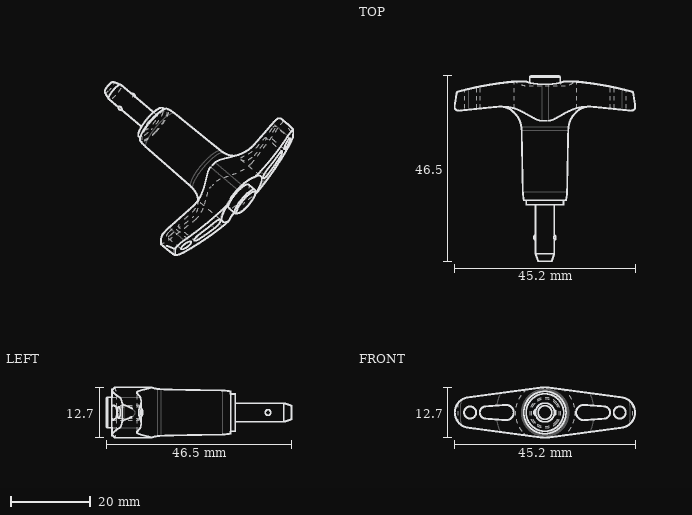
import cadquery as cq
import math


hub_width = 12.7
hub_radius = hub_width / 2
end_radius = 3.85
half_span = 22.6
end_center = half_span - end_radius

bowl_inner = (3.7, -2.45)
bowl_middle = (6.3, -2.15)
rim_inner = (7.45, -1.45)
rim_outer = (8.35, -1.45)
crown_middle = (14.87, -2.35)
crown_outer = (21.9, -4.0)
edge_round_middle = (22.1, -4.2)
end_taper_top = (22.15, -4.45)
end_taper_low = (22.7, -7.75)
end_round_middle = (22.25, -8.55)
underside_outer = (21.3, -8.75)

flare_radius = 5.65
flare_start = (5.95, -12.8)
flare_center = (11.6, -13.4)
flare_middle_angle = 135
grip_top = (5.85, -13.6)
grip_bottom = (5.6, -29.1)
grip_round_middle = (5.5, -30.2)
grip_end = (5.3, -31.2)
collar_radius = 4.7
collar_end = -32.35

pin_radius = 2.35
tip_radius = 1.7
tip_start = -44.55
tip_end = -46.5
ball_diameter = 1.55
ball_span = 5.55
ball_y = -40.55

button_radius = 3.85
button_depth = 4.65
button_chamfer = 0.35

hole_radius = 1.5
slot_inner_x = 9.7
slot_inner_width = 3.75
slot_outer_x = 14.8
slot_outer_width = 3.0

through_length = 18.6


def turned(section):
    """Revolve a closed radius-Y section about the pin axis."""
    return section.close().revolve(360, (0, 0, 0), (0, 1, 0))


def tapered_bar(x_big, radius_big, x_small, radius_small):
    """Prism along Y whose outline is two round ends with tangent sides, the small end at larger X."""
    sine = (radius_big - radius_small) / (x_small - x_big)
    cosine = math.sqrt(1 - sine**2)
    big = (x_big + radius_big * sine, radius_big * cosine)
    small = (x_small + radius_small * sine, radius_small * cosine)
    return (
        cq.Workplane("XZ")
        .moveTo(*big)
        .lineTo(*small)
        .threePointArc((x_small + radius_small, 0), (small[0], -small[1]))
        .lineTo(big[0], -big[1])
        .threePointArc((x_big - radius_big, 0), big)
        .close()
        .extrude(through_length)
    )


def on_flare(angle):
    """Point of the flare arc at an angle in degrees from the +radius direction."""
    turn = math.radians(angle)
    return (
        flare_center[0] + flare_radius * math.cos(turn),
        flare_center[1] + flare_radius * math.sin(turn),
    )


def flare_tangent_angle():
    """Angle at which the wing underside leaves the flare tangentially."""
    dx = underside_outer[0] - flare_center[0]
    dy = underside_outer[1] - flare_center[1]
    return math.degrees(math.atan2(dy, dx) + math.acos(flare_radius / math.hypot(dx, dy)))


def handle():
    section = (
        cq.Workplane("XY")
        .moveTo(0, bowl_inner[1])
        .lineTo(*bowl_inner)
        .threePointArc(bowl_middle, rim_inner)
        .lineTo(*rim_outer)
        .threePointArc(crown_middle, crown_outer)
        .threePointArc(edge_round_middle, end_taper_top)
        .lineTo(*end_taper_low)
        .threePointArc(end_round_middle, underside_outer)
        .lineTo(*on_flare(flare_tangent_angle()))
        .threePointArc(on_flare(flare_middle_angle), flare_start)
        .lineTo(0, flare_start[1])
    )
    wing = tapered_bar(0, hub_radius, end_center, end_radius)
    plan = wing.union(wing.mirror("YZ"))
    return turned(section).intersect(plan)


def grip_and_pin():
    section = (
        cq.Workplane("XY")
        .moveTo(0, flare_start[1])
        .lineTo(*flare_start)
        .lineTo(*grip_top)
        .lineTo(*grip_bottom)
        .threePointArc(grip_round_middle, grip_end)
        .lineTo(collar_radius, grip_end[1])
        .lineTo(collar_radius, collar_end)
        .lineTo(pin_radius, collar_end)
        .lineTo(pin_radius, tip_start)
        .lineTo(tip_radius, tip_end)
        .lineTo(0, tip_end)
    )
    return turned(section)


def button():
    return (
        cq.Workplane("XZ")
        .circle(button_radius)
        .extrude(button_depth)
        .faces(">Y")
        .chamfer(button_chamfer)
    )


hole = cq.Workplane("XZ").center(end_center, 0).circle(hole_radius).extrude(through_length)
slot = tapered_bar(slot_inner_x, slot_inner_width / 2, slot_outer_x, slot_outer_width / 2)
openings = hole.union(slot)

result = handle().union(grip_and_pin())
result = result.cut(openings).cut(openings.mirror("YZ")).union(button())

ball_offset = (ball_span - ball_diameter) / 2
for side in (-1, 1):
    ball = cq.Workplane("XY").sphere(ball_diameter / 2)
    result = result.union(ball.translate((side * ball_offset, ball_y, 0)))